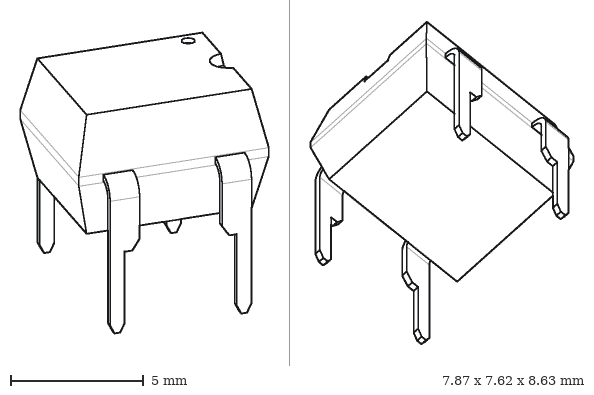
import cadquery as cq
import math

overall_x = 7.87
overall_z = 8.63

lead_thickness = 0.25
bend_outer_radius = 0.76
bend_inner_radius = bend_outer_radius - lead_thickness
lead_pitch = 5.08
narrow_width = 0.59
wide_width = 1.18
step_z = 3.32
shoulder_chamfer_width = 0.29
shoulder_chamfer_height = 0.44
tip_width = 0.225
tip_height = 0.36

housing_x = overall_x - 2 * bend_outer_radius
housing_y = 7.62
band_height = 0.37
half_height = 2.29
taper_inset = 0.5
band_bottom = overall_z - half_height - band_height
band_middle = band_bottom + band_height / 2
top_face_edge_y = housing_y / 2 - taper_inset

notch_radius = 0.65
notch_depth = 0.5
dot_radius = 0.25
dot_depth = 0.2
dot_x = -2.17
dot_y = 2.555


def tapered_half(direction):
    """Half of the housing outside the band; direction is +1 for upper and -1 for lower."""
    start_z = band_middle + direction * band_height / 2
    return (
        cq.Workplane("XY", origin=(0, 0, start_z))
        .rect(housing_x, housing_y)
        .workplane(offset=direction * half_height)
        .rect(housing_x - 2 * taper_inset, housing_y - 2 * taper_inset)
        .loft(ruled=True)
    )


def top_recess(x, y, radius, depth):
    """Round cutter reaching down from the top face."""
    return cq.Workplane("XY", origin=(x, y, overall_z)).circle(radius).extrude(-depth)


def make_housing():
    band = cq.Workplane("XY", origin=(0, 0, band_bottom)).rect(housing_x, housing_y).extrude(band_height)
    notch = top_recess(0, top_face_edge_y, notch_radius, notch_depth)
    dot = top_recess(dot_x, dot_y, dot_radius, dot_depth)
    return band.union(tapered_half(1)).union(tapered_half(-1)).cut(notch).cut(dot)


def bent_strip():
    """Strip for the +X side: leaves the housing, bends down a quarter turn and runs to the tip."""
    housing_face = housing_x / 2
    leg_outside = overall_x / 2
    leg_inside = leg_outside - lead_thickness
    strip_top = band_middle + lead_thickness / 2
    strip_bottom = strip_top - lead_thickness
    bend_z = strip_top - bend_outer_radius
    diagonal = math.cos(math.radians(45))
    outer_mid = (housing_face + bend_outer_radius * diagonal, bend_z + bend_outer_radius * diagonal)
    inner_mid = (housing_face + bend_inner_radius * diagonal, bend_z + bend_inner_radius * diagonal)
    return (
        cq.Workplane("XZ")
        .moveTo(housing_face, strip_top)
        .threePointArc(outer_mid, (leg_outside, bend_z))
        .lineTo(leg_outside, 0)
        .lineTo(leg_inside, 0)
        .lineTo(leg_inside, bend_z)
        .threePointArc(inner_mid, (housing_face, strip_bottom))
        .close()
        .extrude(housing_y / 2, both=True)
    )


def lead_outline():
    """Stamped outline of the +Y lead, swept across X over the +X side."""
    outer_y = lead_pitch / 2 + narrow_width / 2
    step_y = outer_y - narrow_width
    inner_y = outer_y - wide_width
    tip_outer_y = lead_pitch / 2 + tip_width / 2
    tip_inner_y = lead_pitch / 2 - tip_width / 2
    outline = [
        (outer_y, overall_z),
        (outer_y, tip_height),
        (tip_outer_y, 0),
        (tip_inner_y, 0),
        (step_y, tip_height),
        (step_y, step_z),
        (inner_y + shoulder_chamfer_width, step_z),
        (inner_y, step_z + shoulder_chamfer_height),
        (inner_y, overall_z),
    ]
    return cq.Workplane("YZ").polyline(outline).close().extrude(overall_x)


def make_leads():
    """Four leads, mirrored about both vertical mid-planes of the housing."""
    right_rear = bent_strip().intersect(lead_outline())
    leads = []
    for side in (right_rear, right_rear.mirror("YZ")):
        leads.append(side.val())
        leads.append(side.mirror("XZ").val())
    return leads


housing = make_housing()
leads = make_leads()
result = cq.Compound.makeCompound([housing.val(), *leads])